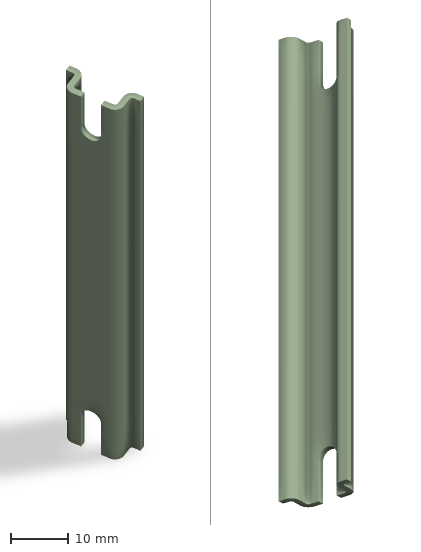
import cadquery as cq

length = 89.0
overall_width = 15.0
depth = 5.5
thickness = 1.25
channel_width = 11.2
inner_bend_radius = 0.5
slot_width = 4.0
slot_depth = 10.0

outer_bend_radius = inner_bend_radius + thickness
half_width = overall_width / 2
wall_outside = channel_width / 2
wall_inside = wall_outside - thickness
base_front = -depth / 2
base_back = base_front + thickness
flange_back = depth / 2
flange_front = flange_back - thickness


def make_rail():
    """Constant-thickness hat section, extruded along Z with rounded bends."""
    section = [
        (-half_width, flange_back),
        (-wall_inside, flange_back),
        (-wall_inside, base_back),
        (wall_inside, base_back),
        (wall_inside, flange_back),
        (half_width, flange_back),
        (half_width, flange_front),
        (wall_outside, flange_front),
        (wall_outside, base_front),
        (-wall_outside, base_front),
        (-wall_outside, flange_front),
        (-half_width, flange_front),
    ]
    rail = cq.Workplane("XY").polyline(section).close().extrude(length)
    rail = rail.translate((0, 0, -length / 2))
    bends = [
        (wall_inside, flange_back, outer_bend_radius),
        (wall_outside, flange_front, inner_bend_radius),
        (wall_inside, base_back, inner_bend_radius),
        (wall_outside, base_front, outer_bend_radius),
    ]
    for x, y, radius in bends:
        for side in (-1, 1):
            edge = cq.selectors.NearestToPointSelector((side * x, y, 0))
            rail = rail.edges("|Z").edges(edge).fillet(radius)
    return rail


def make_end_slot(end):
    """Round-bottomed slot through the base, open at the end in direction end."""
    slot_radius = slot_width / 2
    rail_end = end * length / 2
    arc_center = rail_end - end * (slot_depth - slot_radius)
    slot_bottom = rail_end - end * slot_depth
    return (
        cq.Workplane("XZ")
        .moveTo(-slot_radius, rail_end)
        .lineTo(-slot_radius, arc_center)
        .threePointArc((0, slot_bottom), (slot_radius, arc_center))
        .lineTo(slot_radius, rail_end)
        .close()
        .extrude(depth, both=True)
    )


result = make_rail()
for end in (-1, 1):
    result = result.cut(make_end_slot(end))